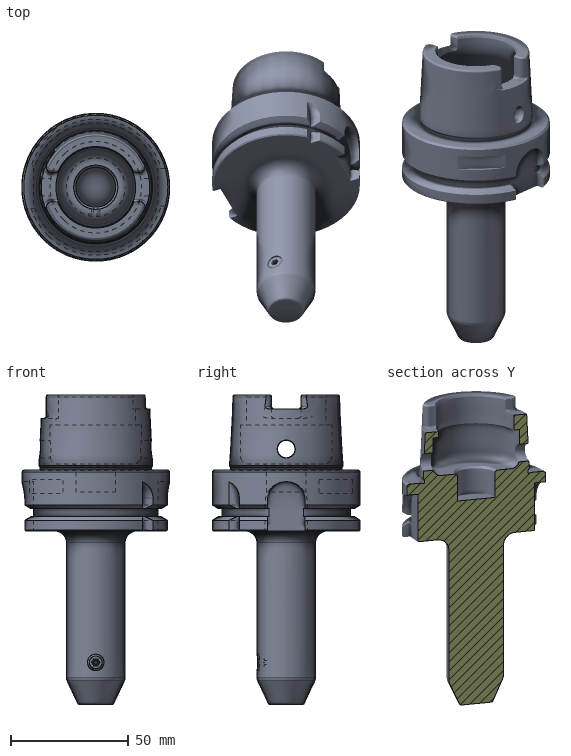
import math

import cadquery as cq

SHANK_TOP = 32.0
GAUGE_RADIUS = 24.0
GAUGE_HEIGHT = 6.3
TAPER_RATIO = 9.98
RIM_ROUND = 0.9
TAPER_START = 1.9
RELIEF_RADIUS = 23.7
RELIEF_HEIGHT = 1.0
RELIEF_DEPTH = 0.3
RELIEF_OUTER_RADIUS = 25.3

FLANGE_RADIUS = 31.5
FLANGE_BOTTOM = -26.0
FLANGE_TOP_CHAMFER = 0.8
FLANGE_BOTTOM_CHAMFER = 0.5
GROOVE_TOP = -14.9
GROOVE_BOTTOM = -21.5
GROOVE_ROOT_RADIUS = 27.5
GROOVE_SHOULDER_RADIUS = 29.0
GROOVE_FLANK_HEIGHT = 1.6

NECK_RADIUS = 12.5
NECK_FILLET = 5.0
NOSE_BOTTOM = -100.0
NOSE_TAPER_TOP = -89.2
NOSE_END_RADIUS = 7.4
NOSE_SHOULDER_ROUND = 3.0
NOSE_TIP_ROUND = 1.2

BORE_RADIUS = 17.0
BORE_BOTTOM = 19.2
BORE_CHAMFER_WIDTH = 0.4
BORE_CHAMFER_HEIGHT = 1.0
CAVITY_RADIUS = 19.5
CAVITY_FLOOR = 2.5
CAVITY_FILLET = 3.5
CORE_RADIUS = 9.4
CORE_CHAMFER = 0.9
CORE_DEPTH = 12.0

SLOT_WIDTH = 12.54
SLOT_FLOOR_LEFT = 22.0
SLOT_FLOOR_RIGHT = 26.0
SLOT_NOSE_DISTANCE = 21.1
SLOT_FLAT_LENGTH = 5.0
SLOT_CORNER_RADIUS = 2.5
SLOT_FLOOR_FILLET = 1.1

CROSS_HOLE_DIAMETER = 7.5
CROSS_HOLE_HEIGHT = 8.9

KEYWAY_FLOOR = 26.5
KEYWAY_TOP = -5.0
KEYWAY_WIDTH_LEFT = 18.0
KEYWAY_WIDTH_RIGHT = 16.0
NOTCH_FLOOR = 20.0
NOTCH_WALL_Y = -20.0
NOTCH_RADIUS = 7.5
NOTCH_CENTRE_Z = -12.0
FLAT_DISTANCE = 29.8
FLAT_ANGLE = 135.0
FLAT_TOP = -4.0
FLAT_BOTTOM = -10.0

SCREW_HEIGHT = -82.0
SCREW_HOLE_DIAMETER = 7.0
SCREW_HOLE_DEPTH = 6.0
SCREW_RECESS = 0.2
SCREW_CHAMFER = 0.8
SCREW_SOCKET_ACROSS_FLATS = 3.0
SCREW_SOCKET_DEPTH = 3.0
SCREW_PILOT_DIAMETER = 1.8
SCREW_PILOT_DEPTH = 3.8

CLEARANCE = 5.0


def taper_radius(z):
    return GAUGE_RADIUS - (z - GAUGE_HEIGHT) / (2 * TAPER_RATIO)


def revolved(outline):
    return outline.close().revolve(360, (0, 0, 0), (0, 1, 0))


def make_body():
    groove_shoulder_top = GROOVE_TOP - GROOVE_FLANK_HEIGHT
    groove_shoulder_bottom = GROOVE_BOTTOM + GROOVE_FLANK_HEIGHT
    flange = revolved(
        cq.Workplane("XZ")
        .moveTo(0, FLANGE_BOTTOM)
        .lineTo(FLANGE_RADIUS - FLANGE_BOTTOM_CHAMFER, FLANGE_BOTTOM)
        .lineTo(FLANGE_RADIUS, FLANGE_BOTTOM + FLANGE_BOTTOM_CHAMFER)
        .lineTo(FLANGE_RADIUS, GROOVE_BOTTOM)
        .lineTo(GROOVE_SHOULDER_RADIUS, groove_shoulder_bottom)
        .lineTo(GROOVE_ROOT_RADIUS, groove_shoulder_bottom)
        .lineTo(GROOVE_ROOT_RADIUS, groove_shoulder_top)
        .lineTo(GROOVE_SHOULDER_RADIUS, groove_shoulder_top)
        .lineTo(FLANGE_RADIUS, GROOVE_TOP)
        .lineTo(FLANGE_RADIUS, -FLANGE_TOP_CHAMFER)
        .lineTo(FLANGE_RADIUS - FLANGE_TOP_CHAMFER, 0)
        .lineTo(RELIEF_OUTER_RADIUS, 0)
        .lineTo(RELIEF_RADIUS, -RELIEF_DEPTH)
        .lineTo(RELIEF_RADIUS, RELIEF_HEIGHT)
        .lineTo(taper_radius(TAPER_START), TAPER_START)
        .lineTo(taper_radius(SHANK_TOP), SHANK_TOP)
        .lineTo(0, SHANK_TOP)
    )
    return flange.union(make_neck())


def make_neck():
    fillet_bottom = FLANGE_BOTTOM - NECK_FILLET
    arc_inset = NECK_FILLET * (1 - math.sqrt(0.5))
    neck = revolved(
        cq.Workplane("XZ")
        .moveTo(0, NOSE_BOTTOM)
        .lineTo(NOSE_END_RADIUS, NOSE_BOTTOM)
        .lineTo(NECK_RADIUS, NOSE_TAPER_TOP)
        .lineTo(NECK_RADIUS, fillet_bottom)
        .threePointArc(
            (NECK_RADIUS + arc_inset, FLANGE_BOTTOM - arc_inset),
            (NECK_RADIUS + NECK_FILLET, FLANGE_BOTTOM),
        )
        .lineTo(0, FLANGE_BOTTOM)
    )
    shoulder_point = (0, -NECK_RADIUS, NOSE_TAPER_TOP)
    neck = neck.edges(cq.NearestToPointSelector(shoulder_point)).fillet(NOSE_SHOULDER_ROUND)
    return neck.faces("<Z").edges().fillet(NOSE_TIP_ROUND)


def make_cavity():
    arc_inset = CAVITY_FILLET * (1 - math.sqrt(0.5))
    return revolved(
        cq.Workplane("XZ")
        .moveTo(0, SHANK_TOP)
        .lineTo(BORE_RADIUS + BORE_CHAMFER_WIDTH, SHANK_TOP)
        .lineTo(BORE_RADIUS, SHANK_TOP - BORE_CHAMFER_HEIGHT)
        .lineTo(BORE_RADIUS, BORE_BOTTOM)
        .lineTo(CAVITY_RADIUS, BORE_BOTTOM)
        .lineTo(CAVITY_RADIUS, CAVITY_FLOOR + CAVITY_FILLET)
        .threePointArc(
            (CAVITY_RADIUS - arc_inset, CAVITY_FLOOR + arc_inset),
            (CAVITY_RADIUS - CAVITY_FILLET, CAVITY_FLOOR),
        )
        .lineTo(CORE_RADIUS, CAVITY_FLOOR)
        .lineTo(CORE_RADIUS - CORE_CHAMFER, CAVITY_FLOOR - CORE_CHAMFER)
        .lineTo(CORE_RADIUS - CORE_CHAMFER, CAVITY_FLOOR - CORE_DEPTH)
        .lineTo(0, CAVITY_FLOOR - CORE_DEPTH)
    )


def make_drive_slot(side, floor):
    """Rim slot whose mouth widens with rounded corners; side is +1 for +X, -1 for -X."""
    half_width = SLOT_WIDTH / 2
    outer_x = side * (GAUGE_RADIUS + CLEARANCE)
    arc_x = SLOT_NOSE_DISTANCE - SLOT_CORNER_RADIUS
    arc_y = half_width + SLOT_CORNER_RADIUS
    end_angle = math.atan2(arc_y, arc_x)
    middle_angle = (end_angle - math.pi / 2) / 2
    middle_x = side * (arc_x + SLOT_CORNER_RADIUS * math.cos(middle_angle))
    middle_y = arc_y + SLOT_CORNER_RADIUS * math.sin(middle_angle)
    end_x = side * (arc_x + SLOT_CORNER_RADIUS * math.cos(end_angle))
    end_y = arc_y + SLOT_CORNER_RADIUS * math.sin(end_angle)
    flat_x = end_x - side * SLOT_FLAT_LENGTH * math.sin(end_angle)
    flat_y = end_y + SLOT_FLAT_LENGTH * math.cos(end_angle)
    slot = (
        cq.Workplane("XY")
        .workplane(offset=floor)
        .moveTo(0, -half_width)
        .lineTo(side * arc_x, -half_width)
        .threePointArc((middle_x, -middle_y), (end_x, -end_y))
        .lineTo(flat_x, -flat_y)
        .lineTo(outer_x, -flat_y)
        .lineTo(outer_x, flat_y)
        .lineTo(flat_x, flat_y)
        .lineTo(end_x, end_y)
        .threePointArc((middle_x, middle_y), (side * arc_x, half_width))
        .lineTo(0, half_width)
        .close()
        .extrude(SHANK_TOP + CLEARANCE - floor)
    )
    return slot.faces("<Z").edges().fillet(SLOT_FLOOR_FILLET)


def round_rim(body):
    """Round the outer outline of both rim segments before the bore is opened."""
    return body.faces(">Z").edges().fillet(RIM_ROUND)


def make_cross_hole():
    reach = GAUGE_RADIUS + CLEARANCE
    return (
        cq.Workplane("YZ")
        .workplane(offset=-reach)
        .center(0, CROSS_HOLE_HEIGHT)
        .circle(CROSS_HOLE_DIAMETER / 2)
        .extrude(2 * reach)
    )


def make_arched_cut(side, floor, centre_y, radius, centre_z):
    """Slot milled along X down through the flange bottom, with a round top end."""
    reach = FLANGE_RADIUS + CLEARANCE - floor
    bottom = FLANGE_BOTTOM
    return (
        cq.Workplane("YZ")
        .workplane(offset=side * floor)
        .moveTo(centre_y - radius, bottom)
        .lineTo(centre_y - radius, centre_z)
        .threePointArc((centre_y, centre_z + radius), (centre_y + radius, centre_z))
        .lineTo(centre_y + radius, bottom)
        .close()
        .extrude(side * reach)
    )


def make_keyway(side, width):
    return make_arched_cut(side, KEYWAY_FLOOR, 0, width / 2, KEYWAY_TOP - width / 2)


def make_index_notch():
    return make_arched_cut(1, NOTCH_FLOOR, NOTCH_WALL_Y - NOTCH_RADIUS, NOTCH_RADIUS, NOTCH_CENTRE_Z)


def make_marking_flat():
    height = FLAT_TOP - FLAT_BOTTOM
    return (
        cq.Workplane("XY")
        .box(CLEARANCE, 2 * FLANGE_RADIUS, height, centered=(False, True, False))
        .translate((FLAT_DISTANCE, 0, FLAT_BOTTOM))
        .rotate((0, 0, 0), (0, 0, 1), FLAT_ANGLE)
    )


def add_clamping_screw(body):
    face = cq.Workplane("XZ", origin=(0, -NECK_RADIUS, SCREW_HEIGHT))
    hole = face.circle(SCREW_HOLE_DIAMETER / 2).extrude(-SCREW_HOLE_DEPTH)
    socket_corners = SCREW_SOCKET_ACROSS_FLATS / math.cos(math.pi / 6)
    screw = (
        face.workplane(offset=-SCREW_HOLE_DEPTH)
        .circle(SCREW_HOLE_DIAMETER / 2)
        .extrude(SCREW_HOLE_DEPTH - SCREW_RECESS)
        .faces("<Y")
        .chamfer(SCREW_CHAMFER)
    )
    socket = (
        face.workplane(offset=-SCREW_RECESS)
        .polygon(6, socket_corners)
        .extrude(-SCREW_SOCKET_DEPTH)
    )
    pilot = (
        face.workplane(offset=-SCREW_RECESS)
        .circle(SCREW_PILOT_DIAMETER / 2)
        .extrude(-SCREW_PILOT_DEPTH)
    )
    return body.cut(hole).union(screw).cut(socket).cut(pilot)


body = make_body()
body = body.cut(make_drive_slot(-1, SLOT_FLOOR_LEFT)).cut(make_drive_slot(1, SLOT_FLOOR_RIGHT))
body = round_rim(body)
body = body.cut(make_cavity()).cut(make_cross_hole())
body = body.cut(make_keyway(-1, KEYWAY_WIDTH_LEFT)).cut(make_keyway(1, KEYWAY_WIDTH_RIGHT))
body = body.cut(make_index_notch()).cut(make_marking_flat())
result = add_clamping_screw(body)